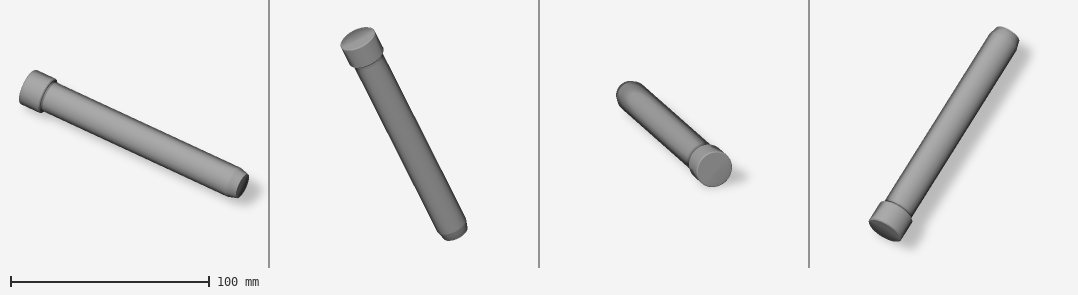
import cadquery as cq
import math

length = 125.0
head_diameter = 19.0
head_length = 12.0
head_chamfer = 0.5
shank_diameter = 16.0
undercut_length = 1.0
undercut_start_diameter = 15.8
undercut_end_diameter = 15.0
tip_length = 5.0
tip_angle = 15.0

head_radius = head_diameter / 2
shank_radius = shank_diameter / 2
shank_start = head_length + undercut_length
tip_radius = shank_radius - tip_length * math.tan(math.radians(tip_angle))

profile = (
    cq.Workplane("XY")
    .moveTo(0, 0)
    .lineTo(0, head_radius - head_chamfer)
    .lineTo(head_chamfer, head_radius)
    .lineTo(head_length - head_chamfer, head_radius)
    .lineTo(head_length, head_radius - head_chamfer)
    .lineTo(head_length, undercut_start_diameter / 2)
    .lineTo(shank_start, undercut_end_diameter / 2)
    .lineTo(shank_start, shank_radius)
    .lineTo(length - tip_length, shank_radius)
    .lineTo(length, tip_radius)
    .lineTo(length, 0)
    .close()
)

result = profile.revolve(360, (0, 0, 0), (1, 0, 0))